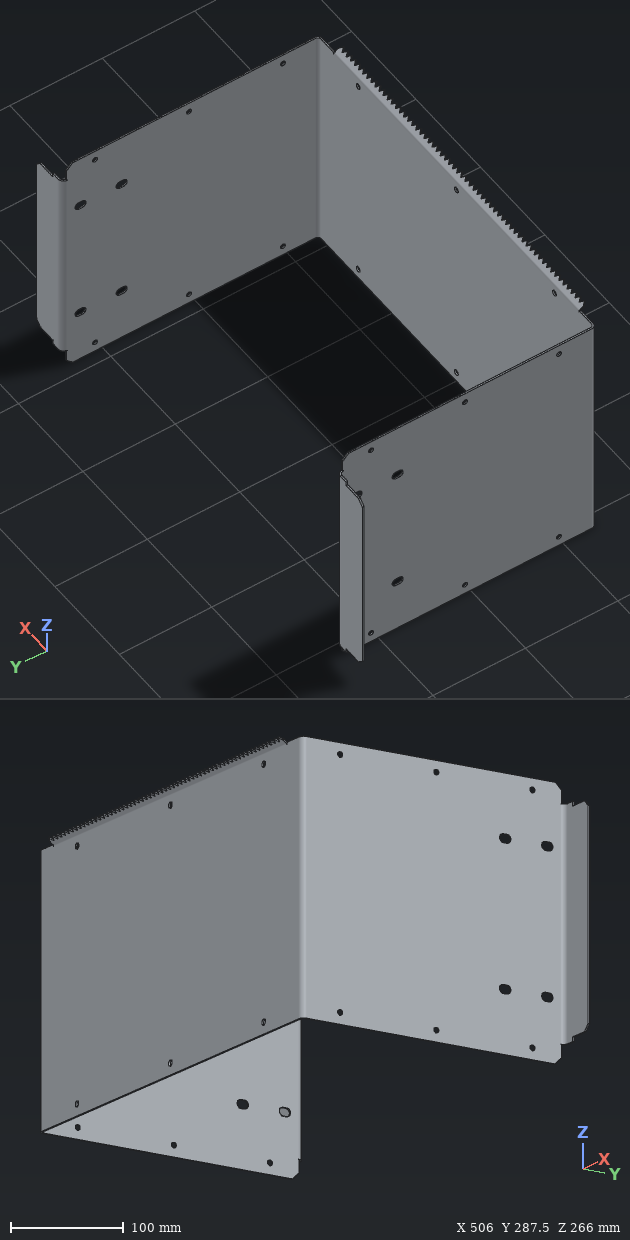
import cadquery as cq
import math

TOTAL_WIDTH = 506.0
TOTAL_DEPTH = 287.5
TOTAL_HEIGHT = 266.0

SHEET = 1.75
PANEL_BEND_INNER = 3.3
PANEL_BEND_OUTER = PANEL_BEND_INNER + SHEET
FLANGE_BEND_INNER = 4.3
FLANGE_BEND_OUTER = FLANGE_BEND_INNER + SHEET
BODY_WIDTH = 430.0
BODY_HEIGHT = 261.0
WALL_CORNER_CHAMFER = 6.5
WALL_OVERRUN = 1.0

FLANGE_INSET = 19.0
FLANGE_STEP = 4.3
FLANGE_OUTER_LENGTH = 25.5
FLANGE_CORNER_CHAMFER = 6.0

LIP_REACH = 7.5
LIP_ANGLE = 35.0
LIP_BEND_INNER = 1.0
LIP_BEND_OUTER = LIP_BEND_INNER + SHEET
LIP_LENGTH = 380.5
TOOTH_COUNT = 60
TOOTH_PITCH = LIP_LENGTH / TOOTH_COUNT
TOOTH_DEPTH = 4.3

HOLE_EDGE_DISTANCE = 11.0
PANEL_HOLE_DIAMETER = 5.5
PANEL_HOLE_SPACING = 152.0
WALL_HOLE_DIAMETER = 5.0
WALL_HOLE_SPACING = 101.5
WALL_HOLE_FIRST_Y = 40.5
SLOT_LENGTH = 11.5
SLOT_HEIGHT = 8.0
SLOT_YS = (215.0, 259.5)
SLOT_Z_SPACING = 139.5

BACK_Y = TOTAL_DEPTH - LIP_REACH
FLANGE_BEND_Y = BACK_Y - FLANGE_BEND_OUTER
WALL_END_Y = FLANGE_BEND_Y + WALL_OVERRUN
FLANGE_HEIGHT = BODY_HEIGHT - 2 * FLANGE_INSET
HALF_BODY = BODY_WIDTH / 2
HALF_TOTAL = TOTAL_WIDTH / 2
HOLE_ROWS = (HOLE_EDGE_DISTANCE, BODY_HEIGHT - HOLE_EDGE_DISTANCE)


def make_channel():
    """U-shaped front panel and side walls with rounded folds and chamfered back corners."""
    inner_half = HALF_BODY - SHEET
    channel = (
        cq.Workplane("XY")
        .moveTo(-HALF_BODY, WALL_END_Y)
        .lineTo(-HALF_BODY, PANEL_BEND_OUTER)
        .radiusArc((-HALF_BODY + PANEL_BEND_OUTER, 0), -PANEL_BEND_OUTER)
        .lineTo(HALF_BODY - PANEL_BEND_OUTER, 0)
        .radiusArc((HALF_BODY, PANEL_BEND_OUTER), -PANEL_BEND_OUTER)
        .lineTo(HALF_BODY, WALL_END_Y)
        .lineTo(inner_half, WALL_END_Y)
        .lineTo(inner_half, PANEL_BEND_OUTER)
        .radiusArc((inner_half - PANEL_BEND_INNER, SHEET), PANEL_BEND_INNER)
        .lineTo(-inner_half + PANEL_BEND_INNER, SHEET)
        .radiusArc((-inner_half, PANEL_BEND_OUTER), PANEL_BEND_INNER)
        .lineTo(-inner_half, WALL_END_Y)
        .close()
        .extrude(BODY_HEIGHT)
    )
    channel = channel.faces(">Y").edges("|X").chamfer(WALL_CORNER_CHAMFER)
    flange_gap = (
        cq.Workplane("XY", origin=(0, FLANGE_BEND_Y + WALL_OVERRUN, FLANGE_INSET))
        .rect(TOTAL_WIDTH, 2 * WALL_OVERRUN)
        .extrude(FLANGE_HEIGHT)
    )
    return channel.cut(flange_gap)


def make_right_flange():
    """Outward-folded flange behind the +X wall, stepped and chamfered at its free end."""
    inner_half = HALF_BODY - SHEET
    flange = (
        cq.Workplane("XY", origin=(0, 0, FLANGE_INSET))
        .moveTo(inner_half, FLANGE_BEND_Y)
        .radiusArc((inner_half + FLANGE_BEND_OUTER, BACK_Y), FLANGE_BEND_OUTER)
        .lineTo(HALF_TOTAL, BACK_Y)
        .lineTo(HALF_TOTAL, BACK_Y - SHEET)
        .lineTo(HALF_BODY + FLANGE_BEND_INNER, BACK_Y - SHEET)
        .radiusArc((HALF_BODY, FLANGE_BEND_Y), -FLANGE_BEND_INNER)
        .close()
        .extrude(FLANGE_HEIGHT)
    )
    for step_z in (FLANGE_INSET, BODY_HEIGHT - FLANGE_INSET):
        step = cq.Workplane("XY").box(2 * FLANGE_OUTER_LENGTH, 2 * FLANGE_BEND_OUTER, 2 * FLANGE_STEP)
        flange = flange.cut(step.translate((HALF_TOTAL, BACK_Y, step_z)))
    return flange.faces(">X").edges("|Y").chamfer(FLANGE_CORNER_CHAMFER)


LIP_COS = math.cos(math.radians(LIP_ANGLE))
LIP_SIN = math.sin(math.radians(LIP_ANGLE))
LIP_FLAT = (LIP_REACH - LIP_BEND_INNER * (1 - LIP_SIN)) / LIP_COS
LIP_BEND_Z = TOTAL_HEIGHT - LIP_BEND_OUTER * LIP_COS - LIP_FLAT * LIP_SIN


def lip_bend_point(radius, angle):
    """Point (Y, Z) on the lip fold, at an angle above horizontal."""
    turn = math.radians(angle)
    return -LIP_BEND_INNER + radius * math.cos(turn), LIP_BEND_Z + radius * math.sin(turn)


def make_lip():
    """Forward-sloping lip with triangular teeth on its free edge."""
    turn = 90 - LIP_ANGLE
    lower_root = lip_bend_point(LIP_BEND_INNER, turn)
    upper_root = lip_bend_point(LIP_BEND_OUTER, turn)
    lower_tip = (lower_root[0] - LIP_FLAT * LIP_COS, lower_root[1] + LIP_FLAT * LIP_SIN)
    upper_tip = (upper_root[0] - LIP_FLAT * LIP_COS, upper_root[1] + LIP_FLAT * LIP_SIN)
    lip = (
        cq.Workplane("YZ", origin=(-LIP_LENGTH / 2, 0, 0))
        .moveTo(*lip_bend_point(LIP_BEND_INNER, 0))
        .threePointArc(lip_bend_point(LIP_BEND_INNER, turn / 2), lower_root)
        .lineTo(*lower_tip)
        .lineTo(*upper_tip)
        .lineTo(*upper_root)
        .threePointArc(lip_bend_point(LIP_BEND_OUTER, turn / 2), lip_bend_point(LIP_BEND_OUTER, 0))
        .close()
        .extrude(LIP_LENGTH)
    )
    tip_plane = cq.Plane(
        origin=(-LIP_LENGTH / 2, *lower_tip), xDir=(1, 0, 0), normal=(0, LIP_SIN, LIP_COS)
    )
    outline = [(0, -TOOTH_DEPTH), (0, TOOTH_DEPTH)]
    for tooth in range(TOOTH_COUNT):
        outline.append(((tooth + 0.5) * TOOTH_PITCH, 0))
        outline.append(((tooth + 1) * TOOTH_PITCH, TOOTH_DEPTH))
    outline.append((LIP_LENGTH, -TOOTH_DEPTH))
    gaps = cq.Workplane(tip_plane).polyline(outline).close().extrude(4 * SHEET, both=True)
    return lip.cut(gaps)


def make_lip_clearance():
    """Block that clears the straight panel edge where the sheet folds forward into the lip."""
    return (
        cq.Workplane("XY", origin=(0, 0, LIP_BEND_Z))
        .rect(LIP_LENGTH, 4 * SHEET)
        .extrude(TOTAL_HEIGHT - LIP_BEND_Z)
    )


def make_panel_holes():
    """Two rows of three round holes through the front panel."""
    points = [(i * PANEL_HOLE_SPACING, z) for i in (-1, 0, 1) for z in HOLE_ROWS]
    return (
        cq.Workplane("XZ")
        .pushPoints(points)
        .circle(PANEL_HOLE_DIAMETER / 2)
        .extrude(2 * SHEET, both=True)
    )


def make_wall_holes():
    """Round holes and horizontal slots running through both side walls."""
    round_points = [(WALL_HOLE_FIRST_Y + i * WALL_HOLE_SPACING, z) for i in range(3) for z in HOLE_ROWS]
    slot_points = [(y, BODY_HEIGHT / 2 + side * SLOT_Z_SPACING / 2) for y in SLOT_YS for side in (-1, 1)]
    round_holes = (
        cq.Workplane("YZ")
        .pushPoints(round_points)
        .circle(WALL_HOLE_DIAMETER / 2)
        .extrude(HALF_TOTAL, both=True)
    )
    slots = (
        cq.Workplane("YZ")
        .pushPoints(slot_points)
        .slot2D(SLOT_LENGTH, SLOT_HEIGHT)
        .extrude(HALF_TOTAL, both=True)
    )
    return round_holes.union(slots)


right_flange = make_right_flange()
left_flange = right_flange.mirror("YZ")
result = (
    make_channel()
    .cut(make_lip_clearance())
    .union(make_lip())
    .union(right_flange)
    .union(left_flange)
    .cut(make_panel_holes())
    .cut(make_wall_holes())
)